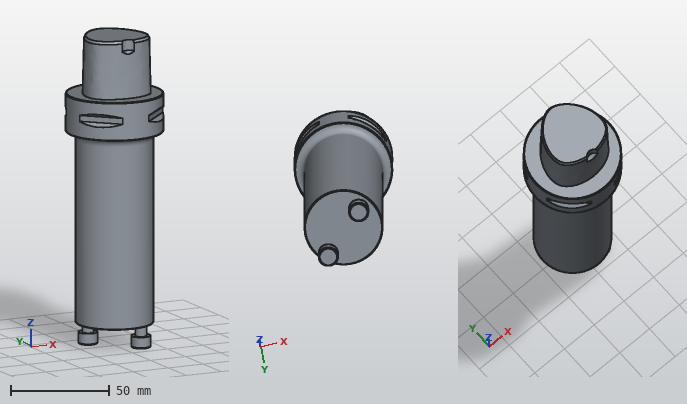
import cadquery as cq
import math

total_height = 162.0
taper_length = 30.0
flange_height = 20.1
body_bottom = 12.2
flange_top = total_height - taper_length
flange_bottom = flange_top - flange_height

flange_radius = 50.0 / 2
body_radius = 40.0 / 2
edge_chamfer = 0.5
neck_fillet = 4.0

taper_mean_radius = 17.5
lobe_height = 1.1
lobe_count = 3
taper_side_reduction = 0.73
rim_chamfer_height = 1.5
rim_chamfer_width = 0.8
profile_points = 72

notch_radius = 3.9
notch_axis_offset = 17.2
notch_depth = 5.5
notch_tip_angle = 118.0
tip_height = notch_radius / math.tan(math.radians(notch_tip_angle / 2))

groove_count = 4
groove_floor_distance = 22.2
groove_floor_width = 3.0
groove_mouth_width = 6.6
groove_z = 122.3

screw_head_diameter = 10.0
screw_head_height = 6.0
screw_shank_diameter = 6.0
screw_offset = 10.0
screw_chamfer = 0.6
screw_embed = 1.6


def make_body():
    """Cylindrical body, concave neck and flange as one revolved profile."""
    neck_z = flange_bottom - neck_fillet
    arc_inset = neck_fillet * (1 - math.sqrt(0.5))
    return (
        cq.Workplane("XZ")
        .moveTo(0, body_bottom)
        .lineTo(body_radius - edge_chamfer, body_bottom)
        .lineTo(body_radius, body_bottom + edge_chamfer)
        .lineTo(body_radius, neck_z)
        .threePointArc(
            (body_radius + arc_inset, flange_bottom - arc_inset),
            (body_radius + neck_fillet, flange_bottom),
        )
        .lineTo(flange_radius - edge_chamfer, flange_bottom)
        .lineTo(flange_radius, flange_bottom + edge_chamfer)
        .lineTo(flange_radius, flange_top - edge_chamfer)
        .lineTo(flange_radius - edge_chamfer, flange_top)
        .lineTo(0, flange_top)
        .close()
        .revolve(360, (0, 0), (0, 1))
    )


def polygon_wire(mean_radius, z):
    """Constant-width three-lobed curve with one lobe toward +Y."""

    def point(fraction):
        angle = 2 * math.pi * fraction
        lobe_angle = lobe_count * (angle - math.pi / 2)
        support = mean_radius + lobe_height * math.cos(lobe_angle)
        slope = -lobe_count * lobe_height * math.sin(lobe_angle)
        return cq.Vector(
            support * math.cos(angle) - slope * math.sin(angle),
            support * math.sin(angle) + slope * math.cos(angle),
            z,
        )

    points = [point(i / profile_points) for i in range(profile_points)]
    return cq.Wire.assembleEdges([cq.Edge.makeSpline(points, periodic=True)])


def make_taper():
    """Tapered polygon shank topped by a chamfered rim."""
    rim_radius = taper_mean_radius - taper_side_reduction
    rim_z = total_height - rim_chamfer_height
    base = polygon_wire(taper_mean_radius, flange_top)
    rim = polygon_wire(rim_radius, rim_z)
    top = polygon_wire(rim_radius - rim_chamfer_width, total_height)
    side = cq.Solid.makeLoft([base, rim], True)
    bevel = cq.Solid.makeLoft([rim, top], True)
    return cq.Workplane(side).union(cq.Workplane(bevel))


def make_notch():
    """Vertical drill shape with a conical tip on the -Y side of the rim."""
    shoulder_z = total_height - notch_depth
    return (
        cq.Workplane("XZ")
        .moveTo(0, shoulder_z - tip_height)
        .lineTo(notch_radius, shoulder_z)
        .lineTo(notch_radius, total_height)
        .lineTo(0, total_height)
        .close()
        .revolve(360, (0, 0), (0, 1))
        .translate((0, -notch_axis_offset, 0))
    )


def make_groove(angle):
    """Straight groove with sloped sides, cut across the flange rim."""
    half_floor = groove_floor_width / 2
    half_mouth = groove_mouth_width / 2
    return (
        cq.Workplane("XZ")
        .moveTo(groove_floor_distance, groove_z - half_floor)
        .lineTo(flange_radius, groove_z - half_mouth)
        .lineTo(flange_radius, groove_z + half_mouth)
        .lineTo(groove_floor_distance, groove_z + half_floor)
        .close()
        .extrude(flange_radius, both=True)
        .rotate((0, 0, 0), (0, 0, 1), angle)
    )


def make_screw(x, y):
    """Cap screw hanging head down from the body's lower face."""
    head = (
        cq.Workplane("XY")
        .circle(screw_head_diameter / 2)
        .extrude(screw_head_height)
        .faces("<Z")
        .chamfer(screw_chamfer)
    )
    shank = (
        cq.Workplane("XY")
        .circle(screw_shank_diameter / 2)
        .extrude(body_bottom + screw_embed)
    )
    return head.union(shank).translate((x, y, 0))


result = make_body().union(make_taper()).cut(make_notch())

for index in range(groove_count):
    groove_angle = 45 + index * 360 / groove_count
    result = result.cut(make_groove(groove_angle))

for side in (-1, 1):
    result = result.union(make_screw(side * screw_offset, -side * screw_offset))